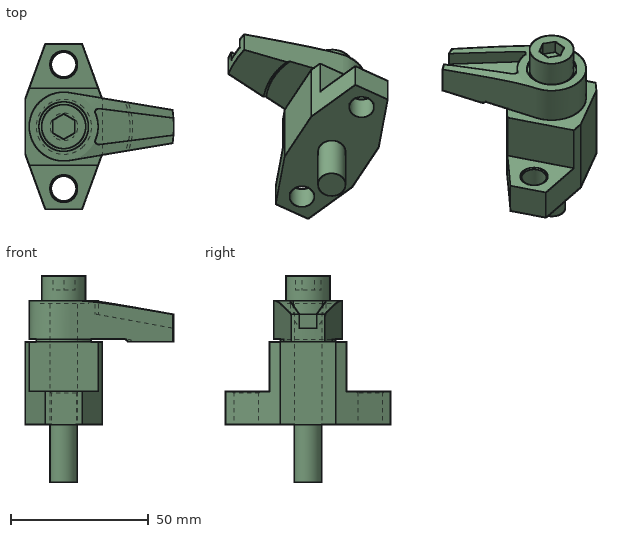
import cadquery as cq
import math

base_height = 30.0
flange_height = 12.0
lever_bottom = 31.0
lever_top = 45.0

block_width = 28.0
block_flat_length = 20.0
base_length = 60.0
ear_taper_angle = 20.0
mounting_hole_spacing = 45.0
mounting_hole_diameter = 9.0
mounting_hole_chamfer = 0.5

thread_diameter = 10.0
head_diameter = 16.0
head_height = 10.0
head_seat = 44.0
screw_bottom = -21.0
hex_across_flats = 8.0
hex_depth = 5.0

hub_diameter = 25.0
collar_diameter = 20.0
recess_diameter = 18.0
arm_reach = 40.0
arm_taper_angle = 9.5
arm_bottom = base_height
tip_top = 40.0
step_radius = 24.0
channel_depth = 5.0
channel_start = 11.3
channel_tip_half_width = 3.1
channel_taper_angle = 7.2
channel_corner_radius = 1.5


def make_base():
    half_width = block_width / 2
    half_flat = block_flat_length / 2
    half_length = base_length / 2
    ear_inset = (half_length - half_flat) * math.tan(math.radians(ear_taper_angle))
    ear_half_width = half_width - ear_inset
    outline = [
        (half_width, -half_flat),
        (half_width, half_flat),
        (ear_half_width, half_length),
        (-ear_half_width, half_length),
        (-half_width, half_flat),
        (-half_width, -half_flat),
        (-ear_half_width, -half_length),
        (ear_half_width, -half_length),
    ]
    base = cq.Workplane("XY").polyline(outline).close().extrude(base_height)

    ear_length = half_length - half_width
    ear_centre = half_width + ear_length / 2
    ear_cuts = (
        cq.Workplane("XY", origin=(0, 0, flange_height))
        .pushPoints([(0, ear_centre), (0, -ear_centre)])
        .rect(block_width, ear_length)
        .extrude(base_height - flange_height)
    )
    base = base.cut(ear_cuts)

    hole_places = [(0, mounting_hole_spacing / 2), (0, -mounting_hole_spacing / 2)]
    base = (
        base.copyWorkplane(cq.Workplane("XY", origin=(0, 0, flange_height)))
        .pushPoints(hole_places)
        .cskHole(mounting_hole_diameter, mounting_hole_diameter + 2 * mounting_hole_chamfer, 90)
    )
    screw_hole = cq.Workplane("XY").circle(thread_diameter / 2).extrude(base_height)
    return base.cut(screw_hole)


def make_screw():
    shank = (
        cq.Workplane("XY", origin=(0, 0, screw_bottom))
        .circle(thread_diameter / 2)
        .extrude(head_seat - screw_bottom)
    )
    head = cq.Workplane("XY", origin=(0, 0, head_seat)).circle(head_diameter / 2).extrude(head_height)
    hex_across_corners = hex_across_flats / math.cos(math.pi / 6)
    socket = (
        cq.Workplane("XY", origin=(0, 0, head_seat + head_height))
        .transformed(rotate=(0, 0, 30))
        .polygon(6, hex_across_corners)
        .extrude(-hex_depth)
    )
    return shank.union(head).cut(socket)


def arm_sector(start, tip_half_width, taper_angle, height):
    """Symmetric prism along +X that narrows to tip_half_width at the arm tip."""
    start_half_width = tip_half_width + (arm_reach - start) * math.tan(math.radians(taper_angle))
    outline = [
        (start, -start_half_width),
        (arm_reach, -tip_half_width),
        (arm_reach, tip_half_width),
        (start, start_half_width),
    ]
    return cq.Workplane("XY").polyline(outline).close().extrude(height)


def make_arm():
    hub_radius = hub_diameter / 2
    step_drop = lever_bottom - arm_bottom
    profile = [
        (0, lever_bottom),
        (step_radius, lever_bottom),
        (step_radius + step_drop, arm_bottom),
        (arm_reach, arm_bottom),
        (arm_reach, tip_top),
        (hub_radius, lever_top),
        (0, lever_top),
    ]
    turned = cq.Workplane("XZ").polyline(profile).close().revolve(360, (0, 0), (0, 1))

    taper = math.radians(arm_taper_angle)
    tangent_x = hub_radius * math.sin(taper)
    tangent_y = hub_radius * math.cos(taper)
    tip_half_width = tangent_y - (arm_reach - tangent_x) * math.tan(taper)
    arm = turned.intersect(arm_sector(tangent_x, tip_half_width, arm_taper_angle, lever_top))

    slope = (lever_top - tip_top) / (arm_reach - hub_radius)
    tip_floor = tip_top - channel_depth
    start_floor = tip_floor + (arm_reach - channel_start) * slope
    channel_profile = [
        (channel_start, start_floor),
        (arm_reach, tip_floor),
        (arm_reach, lever_top),
        (channel_start, lever_top),
    ]
    channel = cq.Workplane("XZ").polyline(channel_profile).close().extrude(hub_radius, both=True)
    channel_plan = arm_sector(channel_start, channel_tip_half_width, channel_taper_angle, lever_top)
    channel_plan = channel_plan.edges("|Z and <X").fillet(channel_corner_radius)
    return arm.cut(channel.intersect(channel_plan))


def make_lever():
    hub = (
        cq.Workplane("XY", origin=(0, 0, lever_bottom))
        .circle(hub_diameter / 2)
        .extrude(lever_top - lever_bottom)
    )
    collar = (
        cq.Workplane("XY", origin=(0, 0, base_height))
        .circle(collar_diameter / 2)
        .extrude(lever_bottom - base_height)
    )
    head_recess = (
        cq.Workplane("XY", origin=(0, 0, head_seat))
        .circle(recess_diameter / 2)
        .extrude(lever_top - head_seat)
    )
    screw_hole = (
        cq.Workplane("XY", origin=(0, 0, base_height))
        .circle(thread_diameter / 2)
        .extrude(lever_top - base_height)
    )
    return make_arm().union(hub).union(collar).cut(head_recess).cut(screw_hole)


base = make_base()
screw = make_screw()
lever = make_lever()

result = cq.Compound.makeCompound([base.solids().val(), screw.solids().val(), lever.solids().val()])